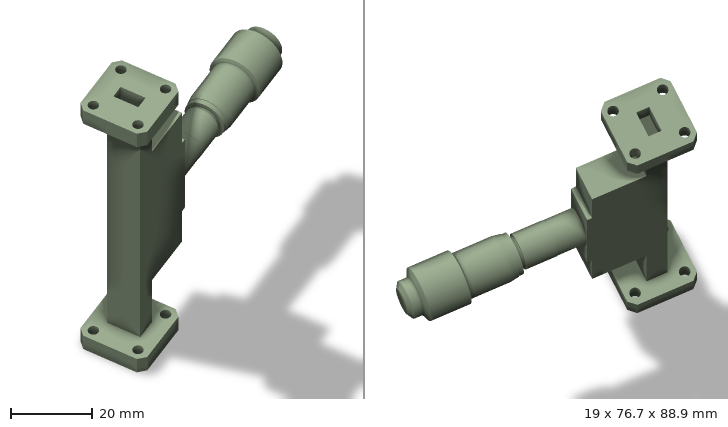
import cadquery as cq

overall_length = 88.9
flange_size = 19.0
flange_thickness = 5.0
flange_chamfer = 1.9
bolt_spacing_x = 12.7
bolt_spacing_y = 13.5
bolt_hole_diameter = 2.85
window_width = 7.1
window_height = 3.6
tube_width = 9.4
tube_depth = 5.7
block_length = 47.9
block_face_y = 17.7

plate_thickness = 1.3
plate_length = 25.4
sleeve_radius = tube_width / 2
sleeve_length = 8.1

barrel_radius = 4.8
barrel_length = 8.5
neck_radius = 4.3
neck_length = 1.1
collar_radius = 5.6
collar_length = 1.3
taper_radius = 5.8
taper_length = 2.1
thimble_radius = 6.1
thimble_length = 11.0
grip_radius = 7.2
grip_lower_bevel = 0.5
grip_length = 10.9
grip_upper_bevel = 1.1
cap_radius = 5.1
cap_length = 2.5
cap_bevel = 1.1
cap_face_radius = 3.5

plate_face_y = block_face_y + plate_thickness
sleeve_end_y = plate_face_y + sleeve_length
barrel_end_y = sleeve_end_y + barrel_length
neck_end_y = barrel_end_y + neck_length
collar_end_y = neck_end_y + collar_length
taper_end_y = collar_end_y + taper_length
thimble_end_y = taper_end_y + thimble_length
grip_start_y = thimble_end_y + grip_lower_bevel
grip_end_y = grip_start_y + grip_length
cap_start_y = grip_end_y + grip_upper_bevel
cap_end_y = cap_start_y + cap_length
tip_y = cap_end_y + cap_bevel


def make_flange(center_z):
    """Square flange with cut corners and four bolt holes."""
    return (
        cq.Workplane("XY")
        .box(flange_size, flange_size, flange_thickness)
        .edges("|Z")
        .chamfer(flange_chamfer)
        .faces(">Z")
        .workplane()
        .rect(bolt_spacing_x, bolt_spacing_y, forConstruction=True)
        .vertices()
        .hole(bolt_hole_diameter)
        .translate((0, 0, center_z))
    )


def make_housing():
    """Tube, block and both flanges, with a blind waveguide window in each flange."""
    tube = cq.Workplane("XY").box(tube_width, tube_depth, overall_length - 2 * flange_thickness)
    block = (
        cq.Workplane("XY")
        .box(tube_width, block_face_y, block_length)
        .translate((0, block_face_y / 2, 0))
    )
    housing = tube.union(block)
    flange_offset = (overall_length - flange_thickness) / 2
    for center_z in (-flange_offset, flange_offset):
        window = (
            cq.Workplane("XY")
            .box(window_width, window_height, flange_thickness)
            .translate((0, 0, center_z))
        )
        housing = housing.union(make_flange(center_z)).cut(window)
    return housing


def make_mount():
    """Plate seated on the block, with the sleeve that carries the micrometer head."""
    plate = (
        cq.Workplane("XY")
        .box(tube_width, plate_thickness, plate_length)
        .translate((0, block_face_y + plate_thickness / 2, 0))
    )
    sleeve = (
        cq.Workplane("XZ")
        .workplane(offset=-plate_face_y)
        .circle(sleeve_radius)
        .extrude(-sleeve_length)
    )
    return plate.union(sleeve)


def make_micrometer_head():
    """Barrel, neck, thimble, grip and cap revolved as one profile."""
    profile = [
        (0, sleeve_end_y),
        (barrel_radius, sleeve_end_y),
        (barrel_radius, barrel_end_y),
        (neck_radius, barrel_end_y),
        (neck_radius, neck_end_y),
        (collar_radius, neck_end_y),
        (collar_radius, collar_end_y),
        (taper_radius, collar_end_y),
        (thimble_radius, taper_end_y),
        (thimble_radius, thimble_end_y),
        (grip_radius, grip_start_y),
        (grip_radius, grip_end_y),
        (cap_radius, cap_start_y),
        (cap_radius, cap_end_y),
        (cap_face_radius, tip_y),
        (0, tip_y),
    ]
    return cq.Workplane("XY").polyline(profile).close().revolve(360, (0, 0, 0), (0, 1, 0))


housing = make_housing()
mount = make_mount()
micrometer_head = make_micrometer_head()

result = cq.Compound.makeCompound([housing.val(), mount.val(), micrometer_head.val()])